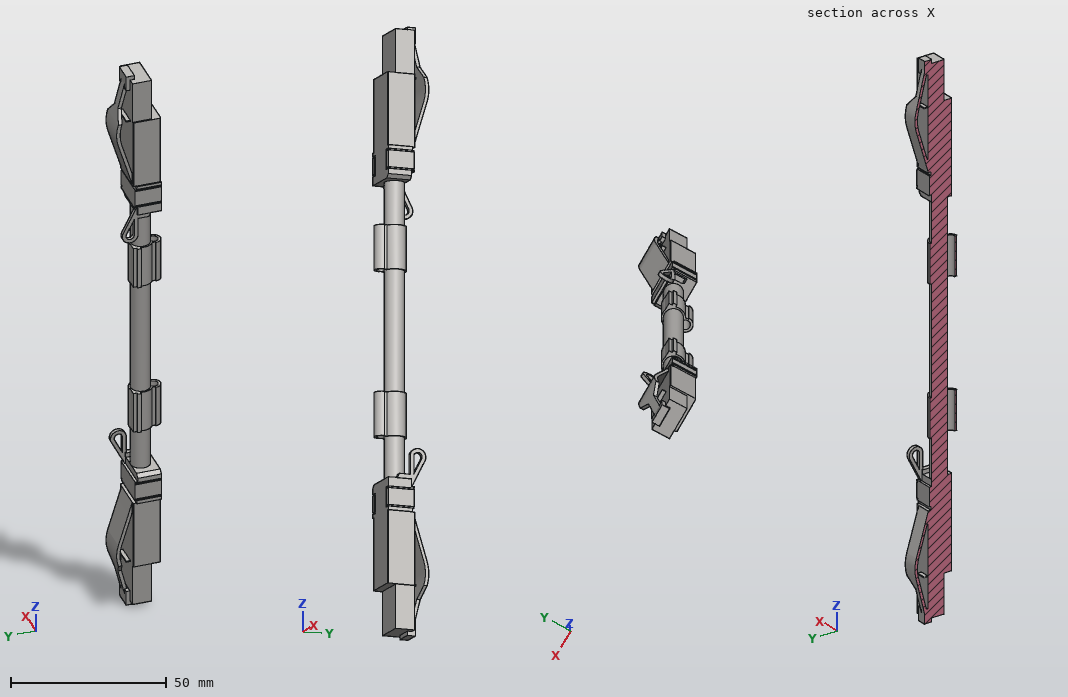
import math
import cadquery as cq

LENGTH = 200.57
DEPTH = 16.79
TOP = LENGTH / 2
CABLE_DIAMETER = 6.6

FRONT_Y = -4.8
HOUSING_WIDTH = 12.7
HOUSING_BACK_Y = 4.7
HOUSING_TOP = TOP - 16.0
HOUSING_EDGE = 0.3
PLUG_WIDTH = 11.6
PLUG_FRONT_Y = -1.8
PLUG_BACK_Y = 4.7
PLUG_TOP = TOP - 1.4

GRIP_WIDTH = 13.7
GRIP_BACK_Y = 4.2
GRIP_TOP = HOUSING_TOP - 24.1
GRIP_BOTTOM = GRIP_TOP - 10.8
GRIP_CHAMFER = 1.2
NECK_BACK_Y = 3.6
NECK_HEIGHT = 1.2
TAIL_BACK_Y = 3.3
TAIL_HEIGHT = 2.5
PAD_TOP = GRIP_TOP - NECK_HEIGHT
PAD_BOTTOM = GRIP_BOTTOM + 3.0
PAD_WRAP = 2.1
PAD_GROOVE = 0.5
PAD_GROOVE_DEPTH = 0.3

BACK_Y = 9.91
LATCH_WIDTH = 10.4
LATCH_THICKNESS = 1.2
ARM_WIDTH = 3.4
HOOK_WIDTH = 6.7
HOOK_INNER_Y = 3.2
HOOK_OUTER_Y = 6.0
HOOK_HEIGHT = 5.2
LATCH_UPPER_Z = TOP - 3.5
LATCH_CREST_UPPER_Z = HOUSING_TOP - 0.5
LATCH_CREST_LOWER_Z = HOUSING_TOP - 8.5
LATCH_BOW = 0.6
LATCH_TAPER = 4.0
LATCH_FOOT_Z = GRIP_TOP + 0.5
LATCH_FOOT_HEIGHT = 4.0
STOP_WIDTH = 7.2
STOP_THICKNESS = 0.4
STOP_DROP = 0.7
STOP_BACK_Y = 6.1

LOOP_X = -5.7
LOOP_WIRE = 1.3
LOOP_RADIUS = 2.05
LOOP_CENTRE_Y = 5.7
LOOP_CENTRE_Z = GRIP_BOTTOM - 7.6
LOOP_LEG = 8.5
FOOT_OUTER_X = -HOUSING_WIDTH / 2
FOOT_INNER_X = -4.6
FOOT_HEIGHT = 1.6
FOOT_FRONT_Y = -1.5
FOOT_BACK_Y = 3.4

CLAMP_LENGTH = 14.6
CLAMP_CENTRE_Z = 27.5
CLAMP_RADIUS = 3.9
BARREL_RADIUS = 2.5
BARREL_BORE_RADIUS = 1.6
BARREL_NECK_WIDTH = 4.2
BARREL_FRONT_Y = BACK_Y - DEPTH
BARREL_CENTRE_Y = BARREL_FRONT_Y + BARREL_RADIUS
LIP_OUTER_X = -4.5
LIP_FRONT_Y = 1.2
LIP_BACK_Y = 2.5
CATCH_OUTER_X = -3.7
CATCH_BACK_Y = 3.7


def block(x_range, y_range, z_range):
    """Box spanning the given limits along each axis."""
    size = [high - low for low, high in (x_range, y_range, z_range)]
    corner = cq.Vector(x_range[0], y_range[0], z_range[0])
    return cq.Workplane("XY").box(*size, centered=False).translate(corner)


def centred_block(width, y_range, z_range):
    """Box of the given width, symmetric about X = 0."""
    return block((-width / 2, width / 2), y_range, z_range)


def housing():
    """Housing shell with the narrower plug on its end."""
    shell = centred_block(HOUSING_WIDTH, (FRONT_Y, HOUSING_BACK_Y), (GRIP_TOP, HOUSING_TOP))
    shell = shell.edges("|Z").chamfer(HOUSING_EDGE)
    plug = centred_block(PLUG_WIDTH, (PLUG_FRONT_Y, PLUG_BACK_Y), (HOUSING_TOP, PLUG_TOP))
    return shell.union(plug)


def pad_outline():
    """Shallow groove outlining the +X pad: two runs across the side, joined on the -Y face."""
    side_x = GRIP_WIDTH / 2
    wrap_x = side_x - PAD_WRAP
    front_groove_y = (FRONT_Y, FRONT_Y + PAD_GROOVE_DEPTH)
    outline = block((wrap_x, wrap_x + PAD_GROOVE), front_groove_y, (PAD_BOTTOM, PAD_TOP))
    for z_low in (PAD_BOTTOM, PAD_TOP - PAD_GROOVE):
        z_range = (z_low, z_low + PAD_GROOVE)
        across_side = block((side_x - PAD_GROOVE_DEPTH, side_x), (FRONT_Y, GRIP_BACK_Y), z_range)
        around_front = block((wrap_x, side_x), front_groove_y, z_range)
        outline = outline.union(across_side).union(around_front)
    return outline


def grip():
    """Stepped grip block with a grooved outline round the pad on each side."""
    neck_bottom = GRIP_TOP - NECK_HEIGHT
    tail_top = GRIP_BOTTOM + TAIL_HEIGHT
    pad_band = centred_block(GRIP_WIDTH, (FRONT_Y, GRIP_BACK_Y), (tail_top, neck_bottom))
    neck = centred_block(GRIP_WIDTH, (FRONT_Y, NECK_BACK_Y), (neck_bottom, GRIP_TOP))
    tail = centred_block(GRIP_WIDTH, (FRONT_Y, TAIL_BACK_Y), (GRIP_BOTTOM, tail_top))
    body = pad_band.union(neck).union(tail)
    body = body.edges("|Y and >X and <Z").chamfer(GRIP_CHAMFER)
    return body.cut(pad_outline()).cut(pad_outline().mirror("YZ"))


def latch_outline():
    """Prism along Y limiting the strip: a narrow arm near the tip, full width from the crest down."""
    wide = LATCH_WIDTH / 2
    narrow = ARM_WIDTH / 2
    outline = [
        (-wide, LATCH_FOOT_Z),
        (wide, LATCH_FOOT_Z),
        (wide, LATCH_CREST_UPPER_Z),
        (narrow, LATCH_CREST_UPPER_Z + LATCH_TAPER),
        (narrow, TOP),
        (-narrow, TOP),
        (-narrow, LATCH_CREST_UPPER_Z + LATCH_TAPER),
        (-wide, LATCH_CREST_UPPER_Z),
    ]
    return cq.Workplane("XZ").polyline(outline).close().extrude(-BACK_Y)


def latch():
    """Hook at the tip, a bowed spring strip down to the housing back, and a small stop."""
    inner_crest_y = BACK_Y - LATCH_THICKNESS
    crest_middle_z = (LATCH_CREST_UPPER_Z + LATCH_CREST_LOWER_Z) / 2
    strip = (
        cq.Workplane("YZ", origin=(-LATCH_WIDTH / 2, 0, 0))
        .moveTo(HOOK_OUTER_Y, LATCH_UPPER_Z)
        .lineTo(BACK_Y - LATCH_BOW, LATCH_CREST_UPPER_Z)
        .threePointArc((BACK_Y, crest_middle_z), (BACK_Y - LATCH_BOW, LATCH_CREST_LOWER_Z))
        .lineTo(HOUSING_BACK_Y + LATCH_THICKNESS, LATCH_FOOT_Z + LATCH_FOOT_HEIGHT)
        .lineTo(HOUSING_BACK_Y, LATCH_FOOT_Z)
        .lineTo(HOUSING_BACK_Y, LATCH_FOOT_Z + LATCH_FOOT_HEIGHT)
        .lineTo(inner_crest_y - LATCH_BOW, LATCH_CREST_LOWER_Z)
        .threePointArc((inner_crest_y, crest_middle_z), (inner_crest_y - LATCH_BOW, LATCH_CREST_UPPER_Z))
        .lineTo(PLUG_BACK_Y, LATCH_UPPER_Z)
        .close()
        .extrude(LATCH_WIDTH)
    )
    strip = strip.intersect(latch_outline())
    hook = centred_block(HOOK_WIDTH, (HOOK_INNER_Y, HOOK_OUTER_Y), (TOP - HOOK_HEIGHT, TOP))
    stop_z = HOUSING_TOP - STOP_DROP
    stop = centred_block(
        STOP_WIDTH,
        (HOUSING_BACK_Y, STOP_BACK_Y),
        (stop_z - STOP_THICKNESS / 2, stop_z + STOP_THICKNESS / 2),
    )
    return strip.union(hook).union(stop)


def pull_loop():
    """Teardrop of square wire: two legs tangent to a round end, meeting inside the grip."""
    apex_half_angle = math.atan(LOOP_RADIUS / LOOP_LEG)
    near = (LOOP_CENTRE_Y - LOOP_RADIUS, LOOP_CENTRE_Z)
    apex = (near[0], LOOP_CENTRE_Z + LOOP_LEG)
    far = (
        LOOP_CENTRE_Y + LOOP_RADIUS * math.cos(2 * apex_half_angle),
        LOOP_CENTRE_Z + LOOP_RADIUS * math.sin(2 * apex_half_angle),
    )
    bottom = (LOOP_CENTRE_Y, LOOP_CENTRE_Z - LOOP_RADIUS)

    def teardrop(offset):
        centreline = cq.Workplane("YZ", origin=(LOOP_X - LOOP_WIRE / 2, 0, 0)).moveTo(*apex)
        centreline = centreline.lineTo(*near).threePointArc(bottom, far).close()
        return centreline.offset2D(offset, "intersection").extrude(LOOP_WIRE)

    return teardrop(LOOP_WIRE / 2).cut(teardrop(-LOOP_WIRE / 2))


def loop_foot():
    """Tapered tab under the grip where the pull loop is anchored."""
    profile = [
        (FOOT_BACK_Y, GRIP_BOTTOM),
        (FOOT_FRONT_Y, GRIP_BOTTOM),
        (FOOT_FRONT_Y + FOOT_HEIGHT / 2, GRIP_BOTTOM - FOOT_HEIGHT),
        (FOOT_BACK_Y, GRIP_BOTTOM - FOOT_HEIGHT),
    ]
    tab = cq.Workplane("YZ", origin=(FOOT_OUTER_X, 0, 0)).polyline(profile).close()
    return tab.extrude(FOOT_INNER_X - FOOT_OUTER_X)


def connector():
    """Complete connector with its latch and pull loop, at the +Z end of the cable."""
    body = housing()
    for feature in (grip(), latch(), pull_loop(), loop_foot()):
        body = body.union(feature)
    return body


def clamp(centre_z):
    """Cable sleeve with a hollow half-round barrel on its -Y side and a stepped lip on its -X side."""
    bottom = centre_z - CLAMP_LENGTH / 2
    z_range = (bottom, bottom + CLAMP_LENGTH)
    plane = cq.Workplane("XY", origin=(0, 0, bottom))
    sleeve = plane.circle(CLAMP_RADIUS).extrude(CLAMP_LENGTH)
    barrel = (
        plane.moveTo(-BARREL_RADIUS, BARREL_CENTRE_Y)
        .threePointArc((0, BARREL_FRONT_Y), (BARREL_RADIUS, BARREL_CENTRE_Y))
        .close()
        .extrude(CLAMP_LENGTH)
    )
    neck = centred_block(BARREL_NECK_WIDTH, (BARREL_CENTRE_Y, 0), z_range)
    bore = plane.center(0, BARREL_CENTRE_Y).circle(BARREL_BORE_RADIUS).extrude(CLAMP_LENGTH)
    lip = block((LIP_OUTER_X, 0), (LIP_FRONT_Y, LIP_BACK_Y), z_range)
    catch = block((CATCH_OUTER_X, 0), (LIP_BACK_Y, CATCH_BACK_Y), z_range)
    body = sleeve
    for feature in (barrel, neck, lip, catch):
        body = body.union(feature)
    return body.cut(bore)


upper_connector = connector()
lower_connector = upper_connector.rotate((0, 0, 0), (0, 1, 0), 180)
cable = (
    cq.Workplane("XY", origin=(0, 0, -GRIP_BOTTOM))
    .circle(CABLE_DIAMETER / 2)
    .extrude(2 * GRIP_BOTTOM)
)

result = cable.union(upper_connector).union(lower_connector)
for clamp_z in (-CLAMP_CENTRE_Z, CLAMP_CENTRE_Z):
    result = result.union(clamp(clamp_z))